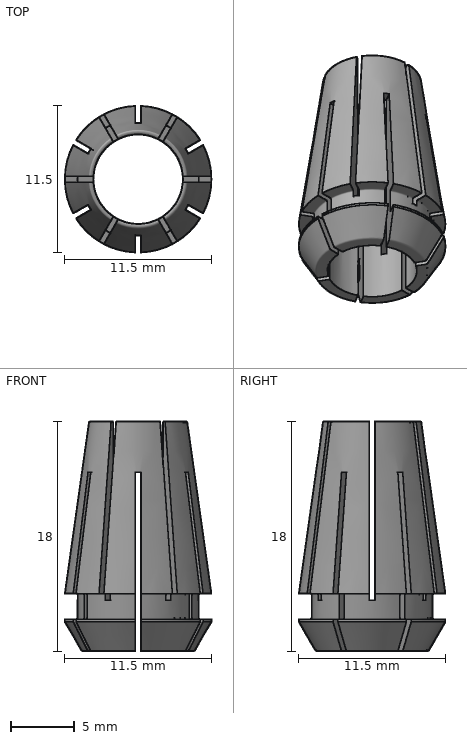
import cadquery as cq
import math

length = 18.0
max_diameter = 11.5
bore_diameter = 7.0
taper_half_angle = 8.0
nose_half_angle = 30.0

groove_diameter = 9.5
groove_bottom_z = 2.5
groove_top_z = 4.5
flange_rim_height = 0.2

nose_edge_fillet = 0.2
top_edge_fillet = 0.15
bore_edge_fillet = 0.2
groove_root_fillet = 0.1
edge_match_tolerance = 0.001

slot_width = 0.44
slots_per_set = 6
upper_slot_floor_z = 4.0
lower_slot_ceiling_z = 14.0

max_radius = max_diameter / 2
bore_radius = bore_diameter / 2
groove_radius = groove_diameter / 2
rim_bottom_z = groove_bottom_z - flange_rim_height
nose_radius = max_radius - rim_bottom_z * math.tan(math.radians(nose_half_angle))
top_radius = max_radius - (length - groove_top_z) * math.tan(math.radians(taper_half_angle))
slot_pitch_angle = 360 / slots_per_set


def round_edge_at(body, radius, z, fillet):
    """Fillet the circular edge that has the given radius and lies at height z."""

    def is_wanted(edge):
        same_radius = math.isclose(edge.radius(), radius, abs_tol=edge_match_tolerance)
        same_height = math.isclose(edge.Center().z, z, abs_tol=edge_match_tolerance)
        return same_radius and same_height

    return body.edges("%CIRCLE").filter(is_wanted).fillet(fillet)


def make_sleeve():
    """Revolve the collet wall and round its edges."""
    wall_profile = [
        (bore_radius, 0),
        (nose_radius, 0),
        (max_radius, rim_bottom_z),
        (max_radius, groove_bottom_z),
        (groove_radius, groove_bottom_z),
        (groove_radius, groove_top_z),
        (max_radius, groove_top_z),
        (top_radius, length),
        (bore_radius, length),
    ]
    sleeve = cq.Workplane("XZ").polyline(wall_profile).close().revolve(360, (0, 0), (0, 1))
    sleeve = round_edge_at(sleeve, nose_radius, 0, nose_edge_fillet)
    sleeve = round_edge_at(sleeve, groove_radius, groove_bottom_z, groove_root_fillet)
    sleeve = round_edge_at(sleeve, groove_radius, groove_top_z, groove_root_fillet)
    sleeve = round_edge_at(sleeve, top_radius, length, top_edge_fillet)
    return round_edge_at(sleeve, bore_radius, length, bore_edge_fillet)


def cut_slots(body, start_angle, bottom_z, top_z):
    """Cut one set of evenly spaced radial slots between two heights."""
    slot = (
        cq.Workplane("XY")
        .workplane(offset=bottom_z)
        .rect(max_diameter, slot_width)
        .extrude(top_z - bottom_z)
        .translate((max_radius, 0, 0))
    )
    for index in range(slots_per_set):
        angle = start_angle + index * slot_pitch_angle
        body = body.cut(slot.rotate((0, 0, 0), (0, 0, 1), angle))
    return body


sleeve = make_sleeve()
upper_slotted = cut_slots(sleeve, 0, upper_slot_floor_z, length)
result = cut_slots(upper_slotted, slot_pitch_angle / 2, 0, lower_slot_ceiling_z)